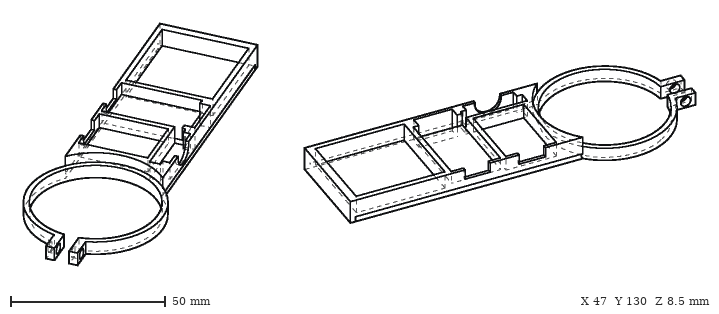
import math

import cadquery as cq

height = 8.5
tray_width = 34.1
tray_end_y = 100.0
clamp_end_y = -30.0

ring_height = 4.8
ring_radius = 23.48
ring_wall = 2.0
gap_width = 5.1
ear_thickness = 3.0
bolt_diameter = 3.5
bolt_y = clamp_end_y + 3.5
bolt_z = ring_height / 2

side_wall = 1.2
divider = 2.0
inner_x = tray_width / 2 - side_wall

large_half_width = 15.1
large_y = (65.0, 97.0)
large_floor = 2.1

middle_y = (45.4, large_y[0] - divider)
middle_right_x = 12.2
middle_floor = 3.9
window_y = (middle_y[0] + divider, middle_y[1] - divider)

small_y = (25.2, middle_y[0] - divider)
small_right_x = 8.2
small_floor = 3.1

switch_x = (9.6, 13.4)
switch_y = (small_y[0] - divider, middle_y[0])
switch_floor = 2.1

notch_floor = ring_height
notch_spans = ((49.7, 58.7), (29.7, 39.2))
scallop_y = (small_y[0] + small_y[1]) / 2
scallop_radius = 4.7
scallop_z = 7.7

groove_width = 2.0
groove_radius = 1.4
groove_z = groove_width / 2
groove_end_y = tray_end_y - 2.0
groove_offset = math.sqrt(groove_radius**2 - groove_z**2)


def block(x_span, y_span, z_span):
    """Axis-aligned box given by its limits along each axis."""
    size = [span[1] - span[0] for span in (x_span, y_span, z_span)]
    corner = (x_span[0], y_span[0], z_span[0])
    return cq.Workplane("XY").box(*size, centered=False).translate(corner)


def pocket(x_span, y_span, floor):
    """Cutter for a recess open at the top of the tray."""
    return block(x_span, y_span, (floor, height))


def make_tray():
    half_width = tray_width / 2
    tray = block((-half_width, half_width), (0, tray_end_y), (0, height))

    tray = tray.cut(pocket((-large_half_width, large_half_width), large_y, large_floor))
    tray = tray.cut(pocket((-inner_x, middle_right_x), middle_y, middle_floor))
    tray = tray.cut(pocket((-inner_x, small_right_x), small_y, small_floor))

    tray = tray.cut(pocket((middle_right_x, inner_x), window_y, 0))

    tray = tray.cut(pocket(switch_x, switch_y, switch_floor))
    tray = tray.cut(pocket((switch_x[0], inner_x), small_y, switch_floor))
    scallop = (
        cq.Workplane("YZ", origin=(inner_x, scallop_y, scallop_z))
        .circle(scallop_radius)
        .extrude(side_wall)
    )
    tray = tray.cut(scallop)
    scallop_sides = (scallop_y - scallop_radius, scallop_y + scallop_radius)
    tray = tray.cut(pocket((inner_x, half_width), scallop_sides, scallop_z))

    for y_span in notch_spans:
        tray = tray.cut(pocket((-half_width, -inner_x), y_span, notch_floor))

    for side in (-1, 1):
        groove_x = side * (half_width + groove_offset)
        groove = (
            cq.Workplane("XZ", origin=(groove_x, 0, groove_z))
            .circle(groove_radius)
            .extrude(-groove_end_y)
        )
        tray = tray.cut(groove)

    return tray.cut(cq.Workplane("XY").circle(ring_radius).extrude(height))


def make_clamp():
    ear_outer_x = gap_width / 2 + ear_thickness
    clamp = cq.Workplane("XY").circle(ring_radius).extrude(ring_height)
    clamp = clamp.union(block((-ear_outer_x, ear_outer_x), (clamp_end_y, 0), (0, ring_height)))
    clamp = clamp.cut(cq.Workplane("XY").circle(ring_radius - ring_wall).extrude(ring_height))
    clamp = clamp.cut(block((-gap_width / 2, gap_width / 2), (clamp_end_y, 0), (0, ring_height)))
    bolt_hole = (
        cq.Workplane("YZ", origin=(0, bolt_y, bolt_z))
        .circle(bolt_diameter / 2)
        .extrude(ear_outer_x, both=True)
    )
    return clamp.cut(bolt_hole)


result = make_tray().union(make_clamp())